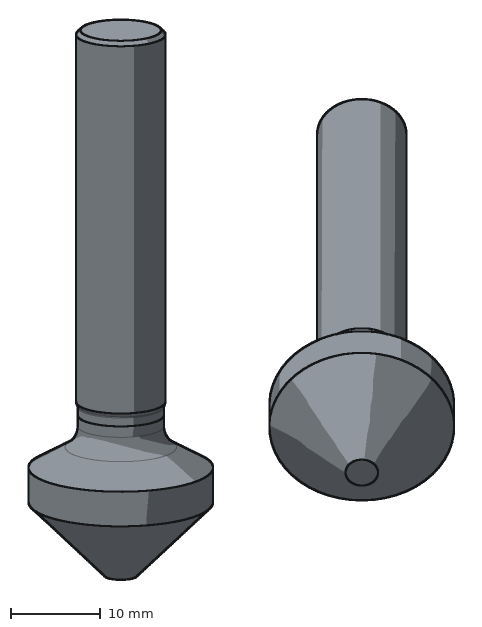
import cadquery as cq
import math

total_length = 63.0
head_radius = 20.62 / 2
shank_radius = 5.0
neck_radius = 4.82

cone_height = 8.5
tip_radius = head_radius - cone_height
land_length = 4.0
back_slope_angle = math.radians(30)
neck_fillet_radius = 2.8

land_top = cone_height + land_length
body_joint = 18.55
neck_top = 19.52

end_bevel = 0.5

fillet_turn = math.pi / 2 - back_slope_angle
fillet_foot_radius = neck_radius + neck_fillet_radius * (1 - math.cos(fillet_turn))
fillet_foot = land_top + (head_radius - fillet_foot_radius) * math.tan(back_slope_angle)
fillet_top = fillet_foot + neck_fillet_radius * math.sin(fillet_turn)
fillet_middle = (
    neck_radius + neck_fillet_radius * (1 - math.cos(fillet_turn / 2)),
    fillet_top - neck_fillet_radius * math.sin(fillet_turn / 2),
)

taper_angle = math.radians(20)
taper_fillet_radius = 0.4


def taper_fillet_point(angle):
    """(radius, height) on the small fillet after it has turned by angle from the neck."""
    return (
        neck_radius + taper_fillet_radius * (1 - math.cos(angle)),
        neck_top + taper_fillet_radius * math.sin(angle),
    )


taper_start_radius, taper_start = taper_fillet_point(taper_angle)
shank_bottom = taper_start + (shank_radius - taper_start_radius) / math.tan(taper_angle)


def revolve_about_z(profile):
    """Turn a closed (radius, height) profile into a solid around the Z axis."""
    return profile.close().revolve(360, (0, 0, 0), (0, 1, 0))


def make_cutting_head():
    """Countersink cone, land and back slope, blending into the lower part of the neck."""
    profile = (
        cq.Workplane("XZ")
        .lineTo(tip_radius, 0)
        .lineTo(head_radius, cone_height)
        .lineTo(head_radius, land_top)
        .lineTo(fillet_foot_radius, fillet_foot)
        .threePointArc(fillet_middle, (neck_radius, fillet_top))
        .lineTo(neck_radius, body_joint)
        .lineTo(0, body_joint)
    )
    return revolve_about_z(profile)


def make_shank():
    """Cylindrical shank, tapering down to the upper part of the neck."""
    profile = (
        cq.Workplane("XZ")
        .moveTo(0, body_joint)
        .lineTo(neck_radius, body_joint)
        .lineTo(neck_radius, neck_top)
        .threePointArc(taper_fillet_point(taper_angle / 2), (taper_start_radius, taper_start))
        .lineTo(shank_radius, shank_bottom)
        .lineTo(shank_radius, total_length - end_bevel)
        .lineTo(shank_radius - end_bevel, total_length)
        .lineTo(0, total_length)
    )
    return revolve_about_z(profile)


cutting_head = make_cutting_head()
shank = make_shank()
result = cq.Compound.makeCompound([cutting_head.val(), shank.val()])